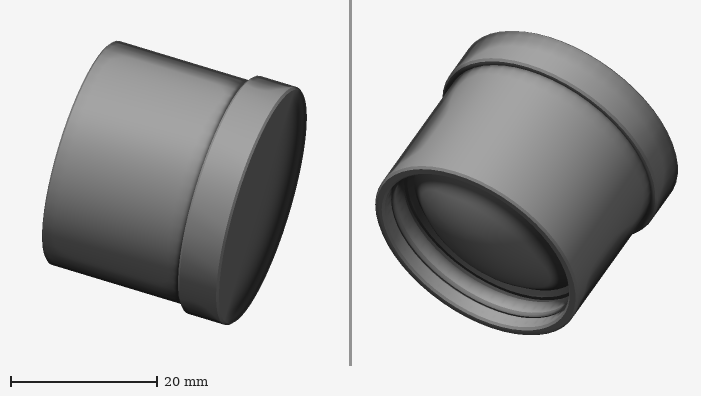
import cadquery as cq

length = 26.3
flange_start = 20.3
edge_chamfer = 0.3

flange_diameter = 34.0
barrel_diameter = 32.0

mouth_chamfer = 0.3
mouth_land_diameter = 29.0
mouth_land_end = 2.1
relief_groove_diameter = 29.8
lead_in_diameter = 29.2
inner_land_diameter = 28.4
inner_land_start = 2.85
inner_land_end = 5.0
seat_groove_diameter = 29.2
seat_face = 5.78
seat_diameter = 28.12

lens_diameter = 26.8
dome_height = 5.27

lead_in_start = inner_land_start - (lead_in_diameter - inner_land_diameter) / 2
lens_edge = seat_face + (seat_diameter - lens_diameter) / 2
lens_apex = lens_edge - dome_height
dome_radius = ((lens_diameter / 2) ** 2 + dome_height**2) / (2 * dome_height)


def turned_body():
    """Revolve the barrel and flange around the X axis."""
    barrel = cq.Workplane("YZ").circle(barrel_diameter / 2).extrude(length)
    barrel = barrel.faces("<X").chamfer(edge_chamfer)
    flange = (
        cq.Workplane("YZ", origin=(flange_start, 0, 0))
        .circle(flange_diameter / 2)
        .extrude(length - flange_start)
        .edges()
        .chamfer(edge_chamfer)
    )
    return barrel.union(flange)


def bore_cutter():
    """Stepped bore whose floor is the convex lens surface."""
    return (
        cq.Workplane("XY")
        .lineTo(0, mouth_land_diameter / 2 + mouth_chamfer)
        .lineTo(mouth_chamfer, mouth_land_diameter / 2)
        .lineTo(mouth_land_end, mouth_land_diameter / 2)
        .lineTo(mouth_land_end, relief_groove_diameter / 2)
        .lineTo(lead_in_start, relief_groove_diameter / 2)
        .lineTo(lead_in_start, lead_in_diameter / 2)
        .lineTo(inner_land_start, inner_land_diameter / 2)
        .lineTo(inner_land_end, inner_land_diameter / 2)
        .lineTo(inner_land_end, seat_groove_diameter / 2)
        .lineTo(seat_face, seat_groove_diameter / 2)
        .lineTo(seat_face, seat_diameter / 2)
        .lineTo(lens_edge, lens_diameter / 2)
        .radiusArc((lens_apex, 0), -dome_radius)
        .close()
        .revolve(360, (0, 0, 0), (1, 0, 0))
    )


result = turned_body().cut(bore_cutter())